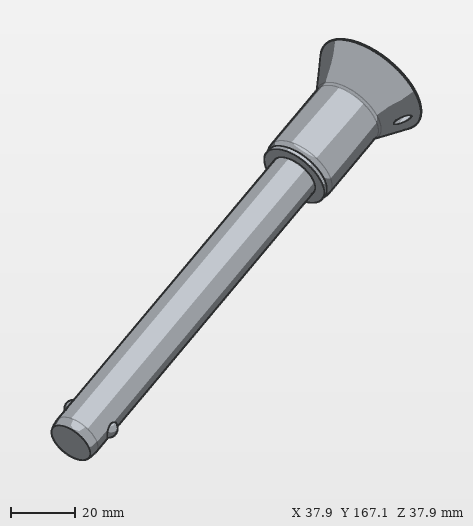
import cadquery as cq

total_length = 167.1
head_radius = 18.97
rim_thickness = 0.5
head_length = 12.7

handle_radius = 11.9
neck_radius = 12.2
neck_length = 1.0
handle_end = 43.0
collar_radius = 11.4
collar_length = 1.5
collar_rounding_length = 2.0

shank_radius = 7.94
tip_length = 3.3
tip_radius = 7.4

ball_radius = 3.0
ball_reach = 9.5
ball_to_tip = 11.2

lanyard_hole_diameter = 3.0
lanyard_hole_offset = 15.9


def make_body():
    """Revolve the half profile, drawn as (radius, distance along the pin axis)."""
    neck_end = head_length + neck_length
    collar_start = handle_end - collar_length
    rounding_start = collar_start - collar_rounding_length
    profile = (
        cq.Workplane("XY")
        .lineTo(head_radius, 0)
        .lineTo(head_radius, -rim_thickness)
        .lineTo(neck_radius, -head_length)
        .tangentArcPoint((handle_radius, -neck_end), relative=False)
        .lineTo(handle_radius, -rounding_start)
        .tangentArcPoint((collar_radius, -collar_start), relative=False)
        .lineTo(collar_radius, -handle_end)
        .lineTo(shank_radius, -handle_end)
        .lineTo(shank_radius, tip_length - total_length)
        .tangentArcPoint((tip_radius, -total_length), relative=False)
        .lineTo(0, -total_length)
        .close()
    )
    return profile.revolve(360, (0, 0, 0), (0, 1, 0))


def make_ball(side):
    """Sphere protruding from the shank on the +X (side = 1) or -X (side = -1) side."""
    ball_center = (side * (ball_reach - ball_radius), ball_to_tip - total_length, 0)
    return cq.Workplane("XY").sphere(ball_radius).translate(ball_center)


def make_lanyard_hole():
    """Cutter parallel to the pin axis that passes right through the head."""
    return (
        cq.Workplane("XZ")
        .center(lanyard_hole_offset, 0)
        .circle(lanyard_hole_diameter / 2)
        .extrude(head_length)
    )


result = make_body()
for ball_side in (-1, 1):
    result = result.union(make_ball(ball_side))
result = result.cut(make_lanyard_hole())